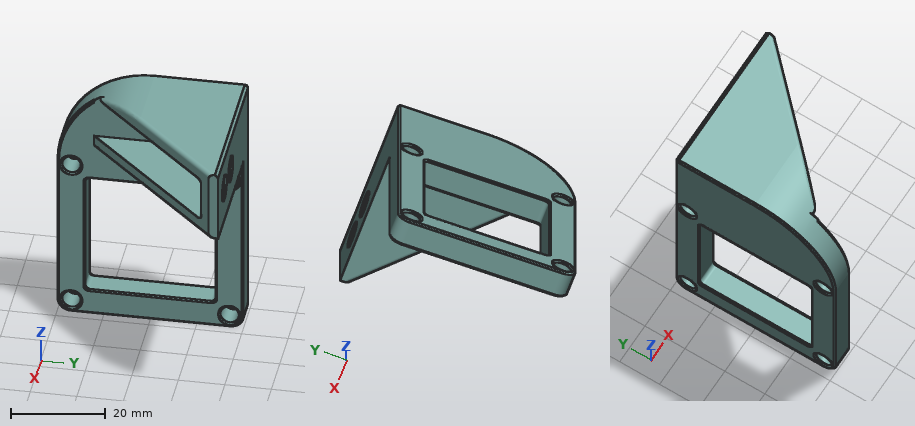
import cadquery as cq

plate_thickness = 6.0
plate_width = 40.0
plate_height = 58.0
top_radius = plate_width / 2
bottom_radius = 3.0
edge_bevel = 0.4

window_size = 28.0
window_corner = 1.0
window_bevel = 0.35
mount_hole_diameter = 4.0
mount_hole_inset = bottom_radius
window_z = plate_width / 2
mount_hole_spacing = plate_width - 2 * mount_hole_inset

arm_length = 36.0
arm_height = 16.0
arm_tip_depth = 2.05
arm_edge_round = 1.0
arm_back_bevel = 0.7
arm_bottom = plate_height - arm_height
arm_mid_z = plate_height - arm_height / 2
arm_tip_y = plate_width - arm_tip_depth
arm_root_y = arm_tip_y - (arm_length - plate_thickness)

pocket_height = 10.0
pocket_floor = 4.0
pocket_round = 1.0
pocket_root_bevel = 0.45
arm_hole_diameter = 5.0
arm_hole_positions = (21.0, 28.5)

hole_bevel = 0.4
bevel_angle = 45


def profile_blank(length):
    """Side outline of the bracket, extruded along +X."""
    slab = cq.Workplane("XY").box(length, plate_width, plate_height, centered=False)
    slab = slab.edges("|X and <Y and >Z").fillet(top_radius)
    return slab.edges("|X and <Z").fillet(bottom_radius)


def make_arm():
    """Triangular block with its slanted face above the plate's inner face."""
    return (
        cq.Workplane("XY", origin=(0, 0, arm_bottom))
        .moveTo(0, plate_width)
        .lineTo(arm_length, plate_width)
        .lineTo(arm_length, arm_tip_y)
        .lineTo(plate_thickness, arm_root_y)
        .lineTo(0, arm_root_y)
        .close()
        .extrude(arm_height)
    )


def make_body():
    """Plate and arm under one rounded outline, with all outer edges softened."""
    plate = profile_blank(plate_thickness)
    plate_box = cq.Workplane("XY").box(plate_thickness, plate_width, plate_height, centered=False)
    arm = make_arm()
    body = profile_blank(arm_length).intersect(plate_box.union(arm))

    slant = body.faces(cq.selectors.ParallelDirSelector(cq.Vector(1, -1, 0)))
    body = slant.edges("not |Z").fillet(arm_edge_round)
    body = body.faces("<X").edges().chamfer(edge_bevel)
    body = body.faces(">Y").edges("|X").edges(">Z").chamfer(arm_back_bevel)

    inner_rim = plate.cut(plate.faces(">X").edges().chamfer(edge_bevel))
    return body.cut(inner_rim.cut(arm))


def cut_pocket(body):
    """Horizontal pocket behind the slanted face, its floor parallel to the back face."""
    floor_y = plate_width - pocket_floor
    cutter = (
        cq.Workplane("XY")
        .box(arm_length, floor_y, pocket_height, centered=(False, False, True))
        .translate((plate_thickness, 0, arm_mid_z))
        .faces(">Y")
        .edges("<X")
        .chamfer(pocket_root_bevel)
        .faces(">Y")
        .edges("|X")
        .fillet(pocket_round)
    )
    return body.cut(cutter)


def flared_hole(plane, origin, diameter, depth):
    """Hole cutter running along the plane normal, flared at both ends."""
    start = cq.Workplane(plane, origin=origin)
    mouth = diameter / 2 + hole_bevel
    core = start.circle(diameter / 2).extrude(depth)
    near = start.circle(mouth).extrude(hole_bevel, taper=bevel_angle)
    far = start.workplane(offset=depth).circle(mouth).extrude(-hole_bevel, taper=bevel_angle)
    return core.union(near).union(far)


def cut_window(body):
    """Rounded square window with bevelled rims on both plate faces."""
    start = cq.Workplane("YZ", origin=(0, plate_width / 2, window_z))
    opening = start.rect(window_size, window_size).extrude(plate_thickness)
    opening = opening.edges("|X").fillet(window_corner)
    rim_size = window_size + 2 * window_bevel
    body = body.cut(opening)
    for x, direction in ((0, 1), (plate_thickness, -1)):
        rim = (
            cq.Workplane("YZ", origin=(x, plate_width / 2, window_z))
            .sketch()
            .rect(rim_size, rim_size)
            .vertices()
            .fillet(window_corner + window_bevel)
            .finalize()
            .extrude(direction * window_bevel, taper=bevel_angle)
        )
        body = body.cut(rim)
    return body


def cut_mount_holes(body):
    """Four holes through the plate, on a square around the window."""
    half = mount_hole_spacing / 2
    for dy in (-half, half):
        for dz in (-half, half):
            origin = (0, plate_width / 2 + dy, window_z + dz)
            body = body.cut(flared_hole("YZ", origin, mount_hole_diameter, plate_thickness))
    return body


def cut_arm_holes(body):
    """Holes from the back face to the pocket floor."""
    for x in arm_hole_positions:
        origin = (x, plate_width, arm_mid_z)
        body = body.cut(flared_hole("XZ", origin, arm_hole_diameter, pocket_floor))
    return body


result = make_body()
result = cut_pocket(result)
result = cut_window(result)
result = cut_mount_holes(result)
result = cut_arm_holes(result)